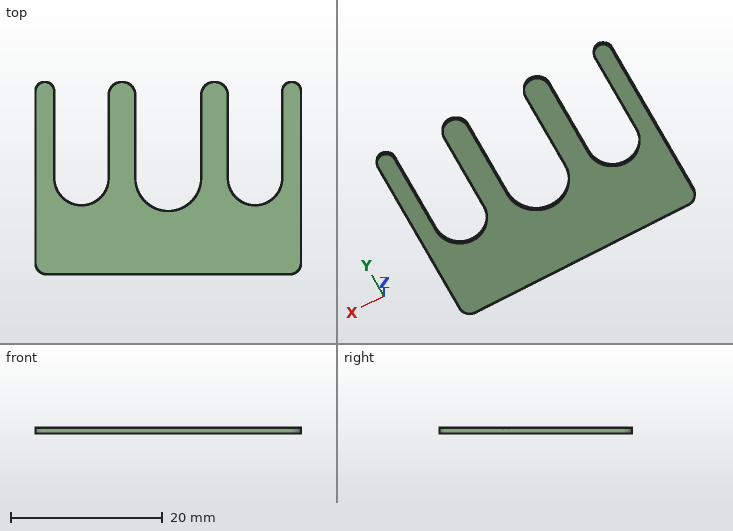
import cadquery as cq

length = 35.05
width = 25.4
thickness = 0.8
corner_radius = 1.5

middle_slot_width = 8.65
outer_slot_width = 7.15
inner_finger_width = 3.55
slot_center_y = 0.0
outer_slot_x = middle_slot_width / 2 + inner_finger_width + outer_slot_width / 2
outer_finger_width = length / 2 - outer_slot_x - outer_slot_width / 2

tip_y = width / 2
inner_finger_x = (middle_slot_width + inner_finger_width) / 2
outer_finger_x = (length - outer_finger_width) / 2


def make_base():
    """Solid plate below the slot centre line, with its two -Y corners rounded."""
    base_width = slot_center_y + width / 2
    base = cq.Workplane("XY").center(0, slot_center_y - base_width / 2)
    base = base.rect(length, base_width).extrude(thickness)
    return base.edges("|Z and <Y").fillet(corner_radius)


def make_finger(center_x, finger_width):
    """Straight finger rising from the base and ending in a half circle."""
    left = center_x - finger_width / 2
    right = center_x + finger_width / 2
    shoulder_y = tip_y - finger_width / 2
    return (
        cq.Workplane("XY")
        .moveTo(left, slot_center_y)
        .lineTo(right, slot_center_y)
        .lineTo(right, shoulder_y)
        .threePointArc((center_x, tip_y), (left, shoulder_y))
        .close()
        .extrude(thickness)
    )


def make_slot_bottom(center_x, slot_width):
    """Cylinder that cuts the round bottom of a slot."""
    return cq.Workplane("XY").center(center_x, slot_center_y).circle(slot_width / 2).extrude(thickness)


result = make_base()
for side in (-1, 1):
    result = result.union(make_finger(side * inner_finger_x, inner_finger_width))
    result = result.union(make_finger(side * outer_finger_x, outer_finger_width))

for side in (-1, 1):
    result = result.cut(make_slot_bottom(side * outer_slot_x, outer_slot_width))
result = result.cut(make_slot_bottom(0, middle_slot_width)).clean()